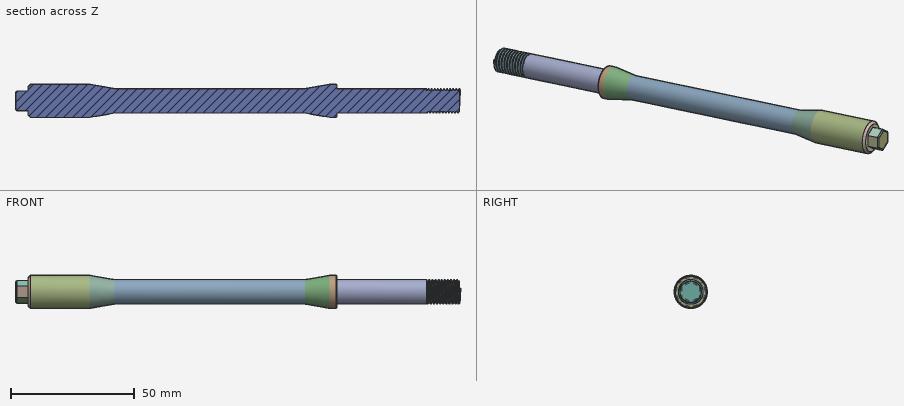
import cadquery as cq
import math

total_length = 180.0
rod_diameter = 10.0
head_diameter = 13.5

hex_across_flats = 8.0
hex_length = 5.0
hex_chamfer = 0.5

head_chamfer = 1.0
head_taper_start = 30.0
taper_length = 10.0

collar_end = 130.0
collar_rim_length = 3.0
collar_chamfer = 0.5

thread_pitch = 1.25
thread_length = 13.5
thread_depth = 0.67
ridge_base_width = 1.0
ridge_crest_width = thread_pitch / 8
ridge_embedding = 0.1

rod_radius = rod_diameter / 2
head_radius = head_diameter / 2
root_radius = rod_radius - thread_depth
core_end = total_length - ridge_base_width / 2
thread_start = core_end - thread_length


def make_hex_drive():
    across_corners = hex_across_flats / math.cos(math.pi / 6)
    return (
        cq.Workplane("YZ")
        .transformed(rotate=(0, 0, 90))
        .polygon(6, across_corners)
        .extrude(hex_length)
        .faces("<X")
        .chamfer(hex_chamfer)
    )


def make_turned_body():
    rim_start = collar_end - collar_rim_length
    profile = [
        (hex_length, 0),
        (hex_length, head_radius - head_chamfer),
        (hex_length + head_chamfer, head_radius),
        (head_taper_start, head_radius),
        (head_taper_start + taper_length, rod_radius),
        (rim_start - taper_length, rod_radius),
        (rim_start, head_radius),
        (collar_end - collar_chamfer, head_radius),
        (collar_end, head_radius - collar_chamfer),
        (collar_end, rod_radius),
        (thread_start, rod_radius),
        (thread_start, root_radius),
        (core_end, root_radius),
        (core_end, 0),
    ]
    return cq.Workplane("XY").polyline(profile).close().revolve(360, (0, 0, 0), (1, 0, 0))


def make_thread_ridge():
    """Ridge swept along a right-hand helix about Z, then turned onto X to start at the +Z side."""
    foot_radius = root_radius - ridge_embedding
    base_half_width = ridge_base_width / 2
    crest_half_width = ridge_crest_width / 2
    section = [
        (foot_radius, -base_half_width),
        (root_radius, -base_half_width),
        (rod_radius, -crest_half_width),
        (rod_radius, crest_half_width),
        (root_radius, base_half_width),
        (foot_radius, base_half_width),
    ]
    helix = cq.Wire.makeHelix(thread_pitch, thread_length, root_radius)
    ridge = (
        cq.Workplane("XZ")
        .polyline(section)
        .close()
        .sweep(cq.Workplane(obj=helix), isFrenet=True)
    )
    return (
        ridge.rotate((0, 0, 0), (0, 0, 1), 180)
        .rotate((0, 0, 0), (0, 1, 0), 90)
        .translate((thread_start, 0, 0))
    )


result = make_turned_body().union(make_hex_drive()).union(make_thread_ridge())